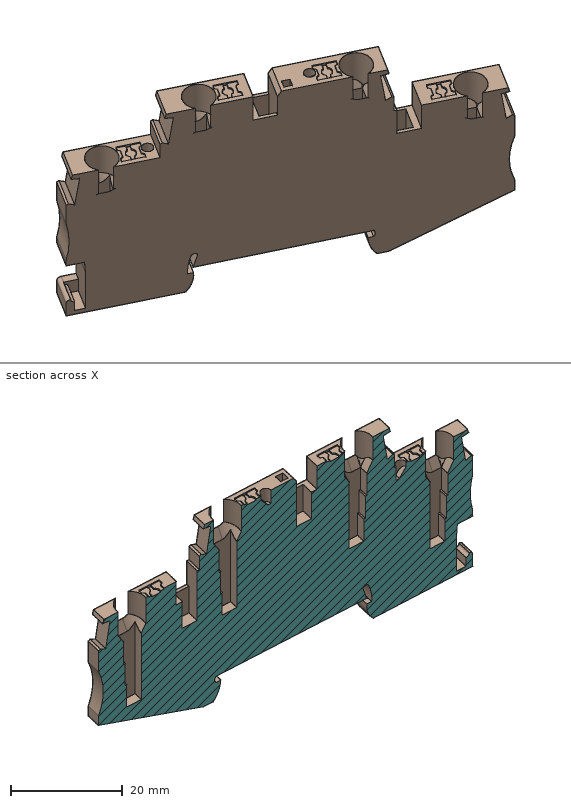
import cadquery as cq
thickness = 6.2
half_thickness = thickness / 2
half_length = 41.8
height = 45.8

upper_tier_z = height
lower_tier_z = 35.2
upper_front_y = -24.35
upper_back_y = 19.3

slot_depth = 5.85
lower_slot_inner_y = 19.8
lower_slot_outer_y = 24.4
upper_slot_inner_y = -2.4
upper_slot_outer_y = -6.95
slot_bevel_width = 0.75
slot_bevel_height = 1.2
shaft_width = 4.85
shaft_length = 3.3
shaft_depth = 6.7

front_hollow_top_z = 23.25
front_hollow_bottom_z = 14.1
front_hollow_depth = 0.54
back_hollow_top_z = 22.7
back_hollow_bottom_z = 11.6
back_hollow_depth = 1.0

rail_seat_front_z = 5.85
rail_seat_back_z = 6.0
rail_grip_z = 4.5
seat_corner_y = 15.5
seat_corner_depth = 0.3
fixed_foot_tip_y = 14.5
fixed_foot_heel_y = 16.15
fixed_foot_bulge = (14.9, 2.2)
spring_foot_tip_y = -18.1
spring_foot_heel_y = -19.6
spring_foot_bulge = (-18.5, 1.7)
underside_start_y = 18.3
underside_end_z = 9.1

slit_outer_y = -19.15
slit_outer_bulge = (-19.1, 6.7)
slit_outer_top = (-18.5, 8.95)
slit_crown = (-17.9, 9.3)
slit_inner_top = (-17.3, 8.8)
slit_inner_y = -18.15

window_back_y = -38.2
window_floor_z = 3.9
window_top_z = 12.6
window_bevel_z = 10.0
window_bevel = 0.2
lip_radius = 0.8
scoop_wall = 1.6
scoop_depth = 2.9
scoop_lip = 1.6
lip_inner_radius = 0.75

mouth_radius = 3.1
mouth_offset_x = 0.3
mouth_depth = 5.0
throat_depth = 3.35
throat_shift = 0.25
throat_taper = -28.0
wire_half_width = 1.8
wire_outer_reach = 2.0
wire_shaft_depth = 16.7
wire_ledge_width = 0.3
wire_ledge_count = 2

button_spacing = 5.4
button_half_width = 1.9
button_offset_x = 0.25
button_half_length = 2.3
button_recess = 0.25
notch_outer_half = 1.1
notch_inner_half = 0.75
notch_depth = 0.54
driver_slot_width = 0.75
driver_circle_radius = 1.0
driver_depth = 0.6

test_spacing = 3.2
test_radius = 1.1
test_depth = 3.35
test_ramp_start = -0.4
test_ramp_rise = 2.1

marker_x = 1.4
marker_y = -0.2
marker_size = 1.6
marker_depth = 3.35

terminals = [
    (34.4, lower_tier_z, 1, False),
    (13.05, upper_tier_z, 1, True),
    (-16.3, upper_tier_z, -1, False),
    (-34.4, lower_tier_z, -1, True),
]


def hook(outer_y, top_z, side):
    """Snap edge points from the tier top down; side is the outward Y direction."""
    inset_and_drop = [(1.2, 0), (0.9, 1.0), (2.5, 1.25), (1.6, 7.6), (0.4, 7.0), (0, 7.3)]
    return [(outer_y - side * inset, top_z - drop) for inset, drop in inset_and_drop]


def follow(path, points):
    """Continue a path with straight lines through the points."""
    for y, z in points:
        path = path.lineTo(y, z)
    return path


def body():
    """Side outline extruded through the whole thickness."""
    upper_slot_floor = upper_tier_z - slot_depth
    lower_slot_floor = lower_tier_z - slot_depth

    path = cq.Workplane("YZ", origin=(-half_thickness, 0, 0)).moveTo(upper_slot_outer_y, upper_tier_z)

    path = follow(path, hook(upper_front_y, upper_tier_z, -1))
    path = follow(path, [(upper_front_y, lower_tier_z)])
    path = follow(path, hook(-half_length, lower_tier_z, -1))
    path = path.lineTo(-half_length, front_hollow_top_z)
    path = path.threePointArc(
        (-half_length + front_hollow_depth, (front_hollow_top_z + front_hollow_bottom_z) / 2),
        (-half_length, front_hollow_bottom_z),
    )
    path = follow(path, [
        (-half_length, window_top_z),
        (window_back_y - window_bevel, window_top_z),
        (window_back_y, window_bevel_z),
        (window_back_y, window_floor_z),
        (-half_length + lip_radius, window_floor_z),
    ])
    path = path.radiusArc((-half_length, window_floor_z - lip_radius), -lip_radius)

    path = follow(path, [(-half_length, 0), (spring_foot_heel_y, 0)])
    path = path.threePointArc(spring_foot_bulge, (spring_foot_tip_y, rail_grip_z))
    path = path.lineTo(slit_outer_y, rail_grip_z)
    path = path.threePointArc(slit_outer_bulge, slit_outer_top)
    path = path.threePointArc(slit_crown, slit_inner_top)
    path = path.lineTo(slit_inner_y, rail_seat_front_z)

    path = path.lineTo(seat_corner_y, rail_seat_back_z)
    path = path.threePointArc(
        (seat_corner_y + seat_corner_depth, (rail_seat_back_z + rail_grip_z) / 2),
        (seat_corner_y, rail_grip_z),
    )
    path = path.lineTo(fixed_foot_tip_y, rail_grip_z)
    path = path.threePointArc(fixed_foot_bulge, (fixed_foot_heel_y, 0))

    path = follow(path, [
        (underside_start_y, 0),
        (half_length, underside_end_z),
        (half_length, back_hollow_bottom_z),
    ])
    path = path.threePointArc(
        (half_length - back_hollow_depth, (back_hollow_top_z + back_hollow_bottom_z) / 2),
        (half_length, back_hollow_top_z),
    )
    path = follow(path, reversed(hook(half_length, lower_tier_z, 1)))
    path = follow(path, [
        (lower_slot_outer_y, lower_tier_z),
        (lower_slot_outer_y, lower_slot_floor),
        (lower_slot_inner_y, lower_slot_floor),
        (lower_slot_inner_y, lower_tier_z),
        (upper_back_y, lower_tier_z),
    ])
    path = follow(path, reversed(hook(upper_back_y, upper_tier_z, 1)))

    path = follow(path, [
        (upper_slot_inner_y + slot_bevel_width, upper_tier_z),
        (upper_slot_inner_y, upper_tier_z - slot_bevel_height),
        (upper_slot_inner_y, upper_slot_floor),
        (upper_slot_outer_y, upper_slot_floor),
    ])
    return path.close().extrude(thickness)


def box(x_range, y_range, z_range):
    """Axis-aligned block spanning the given ranges."""
    sizes = [high - low for low, high in (x_range, y_range, z_range)]
    origin = (x_range[0], y_range[0], z_range[0])
    return cq.Workplane("XY", origin=origin).box(*sizes, centered=False)


def bridge_shaft(inner_y, side, floor_z):
    """Rectangular shaft in a bridge slot floor, flush with the slot's inner wall."""
    y_range = sorted((inner_y, inner_y + side * shaft_length))
    half_width = shaft_width / 2
    return box((-half_width, half_width), y_range, (floor_z - shaft_depth, floor_z))


def label_scoop():
    """Hollow behind the window lip, open on the +X side, leaving a rounded lip."""
    wall_y = -half_length + scoop_lip
    scoop_floor_z = window_floor_z - scoop_depth
    return (
        cq.Workplane("YZ", origin=(-half_thickness + scoop_wall, 0, 0))
        .moveTo(window_back_y, window_floor_z)
        .lineTo(window_back_y, scoop_floor_z)
        .lineTo(wall_y, scoop_floor_z)
        .lineTo(wall_y, window_floor_z - lip_inner_radius)
        .radiusArc((wall_y - lip_inner_radius, window_floor_z), lip_inner_radius)
        .close()
        .extrude(thickness - scoop_wall)
    )


def wire_entry(centre_y, top_z, side):
    """Round mouth narrowing through a tapered throat into a square wire shaft."""
    mouth_floor_z = top_z - mouth_depth
    throat_floor_z = mouth_floor_z - throat_depth
    throat_y = centre_y - side * throat_shift

    def bore(floor_z):
        plane = cq.Workplane("XY", origin=(mouth_offset_x, centre_y, floor_z))
        return plane.circle(mouth_radius).extrude(top_z - floor_z)

    throat = (
        cq.Workplane("XY", origin=(0, throat_y, throat_floor_z))
        .moveTo(-wire_half_width, side * wire_outer_reach)
        .lineTo(-wire_half_width, 0)
        .threePointArc((0, -side * wire_half_width), (wire_half_width, 0))
        .lineTo(wire_half_width, side * wire_outer_reach)
        .close()
        .extrude(throat_depth, taper=throat_taper)
    )
    entry = bore(mouth_floor_z).union(throat.intersect(bore(throat_floor_z)))

    stage_count = wire_ledge_count + 1
    for stage in range(stage_count):
        reach = wire_outer_reach - stage * wire_ledge_width
        y_range = sorted((throat_y - side * wire_half_width, throat_y + side * reach))
        stage_floor_z = throat_floor_z - wire_shaft_depth * (stage + 1) / stage_count
        stage_z_range = (stage_floor_z, mouth_floor_z)
        entry = entry.union(box((-wire_half_width, wire_half_width), y_range, stage_z_range))
    return entry


def release_button(centre_y, top_z):
    """Recessed button face, notched at both ends, with a deeper screwdriver slot."""
    face = cq.Workplane("XY", origin=(button_offset_x, centre_y, top_z - button_recess))
    recess = face.rect(2 * button_half_width, 2 * button_half_length).extrude(button_recess)
    for end in (-1, 1):
        edge_y = end * button_half_length
        notch = face.polyline([
            (-notch_outer_half, edge_y),
            (-notch_inner_half, edge_y - end * notch_depth),
            (notch_inner_half, edge_y - end * notch_depth),
            (notch_outer_half, edge_y),
        ])
        recess = recess.cut(notch.close().extrude(button_recess))

    slot_base = cq.Workplane("XY", origin=(button_offset_x, centre_y, top_z - driver_depth))
    slot = slot_base.rect(2 * button_half_width, driver_slot_width).extrude(driver_depth)
    round_centre = slot_base.circle(driver_circle_radius).extrude(driver_depth)
    return recess.union(slot).union(round_centre)


def test_hole(centre_y, top_z, side):
    """Blind round hole whose floor ramps up on the outward side."""
    floor_z = top_z - test_depth
    hole = cq.Workplane("XY", origin=(0, centre_y, floor_z)).circle(test_radius).extrude(test_depth)
    ramp = (
        cq.Workplane("YZ", origin=(-test_radius, centre_y, floor_z))
        .moveTo(side * test_ramp_start, 0)
        .lineTo(side * test_radius, test_ramp_rise)
        .lineTo(side * test_radius, 0)
        .close()
        .extrude(2 * test_radius)
    )
    return hole.cut(ramp)


def marker_pocket():
    """Small square pocket beside the upper bridge slot."""
    plane = cq.Workplane("XY", origin=(marker_x, marker_y, upper_tier_z - marker_depth))
    return plane.rect(marker_size, marker_size).extrude(marker_depth)


result = body()
result = result.cut(bridge_shaft(lower_slot_inner_y, 1, lower_tier_z - slot_depth))
result = result.cut(bridge_shaft(upper_slot_inner_y, -1, upper_tier_z - slot_depth))
result = result.cut(label_scoop())
result = result.cut(marker_pocket())

for mouth_y, tier_z, outward, has_test_hole in terminals:
    button_y = mouth_y - outward * button_spacing
    result = result.cut(wire_entry(mouth_y, tier_z, outward))
    result = result.cut(release_button(button_y, tier_z))
    if has_test_hole:
        result = result.cut(test_hole(button_y - outward * test_spacing, tier_z, outward))